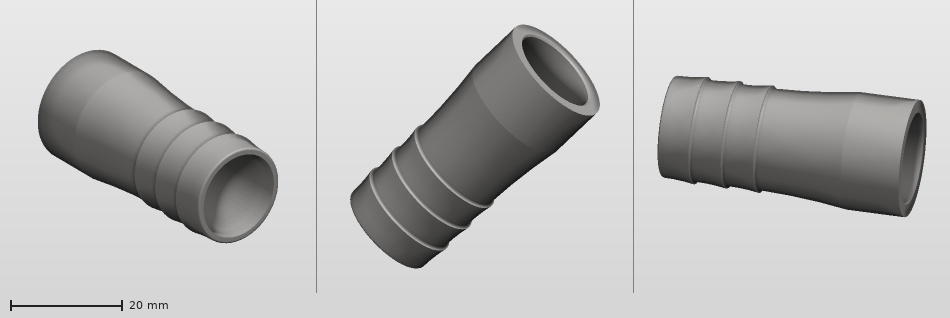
import cadquery as cq

total_length = 45.0
pipe_radius = 21.3 / 2
bore_radius = 16.1 / 2

pipe_length = 10.7
bore_chamfer = 0.3

barb_count = 3
barb_pitch = 6.0
root_radius = 9.25
crest_radius = 9.75
step_radius = crest_radius - root_radius
end_fillet = 0.4
first_step_x = total_length - end_fillet - barb_count * barb_pitch

taper_sag = 0.25
barb_sag = 0.12


def revolve_about_x(profile):
    """Close a half profile that starts and ends on the X axis and spin it into a solid."""
    return profile.close().revolve(360, (0, 0, 0), (1, 0, 0))


def outer_body():
    """Solid nozzle with the pipe end, the taper, the barbs and the rounded tip."""
    profile = (
        cq.Workplane("XY")
        .lineTo(0, pipe_radius)
        .lineTo(pipe_length, pipe_radius)
        .sagittaArc((first_step_x, root_radius), -taper_sag)
    )
    for index in range(barb_count):
        step_x = first_step_x + index * barb_pitch
        crest = (step_x + step_radius, crest_radius)
        next_root = (step_x + barb_pitch, root_radius)
        profile = profile.radiusArc(crest, -step_radius)
        profile = profile.sagittaArc(next_root, -barb_sag)
    profile = profile.radiusArc((total_length, root_radius - end_fillet), end_fillet)
    return revolve_about_x(profile.lineTo(total_length, 0))


def bore():
    """Through bore with a chamfered mouth at the pipe end."""
    profile = (
        cq.Workplane("XY")
        .lineTo(0, bore_radius + bore_chamfer)
        .lineTo(bore_chamfer, bore_radius)
        .lineTo(total_length, bore_radius)
        .lineTo(total_length, 0)
    )
    return revolve_about_x(profile)


result = outer_body().cut(bore())